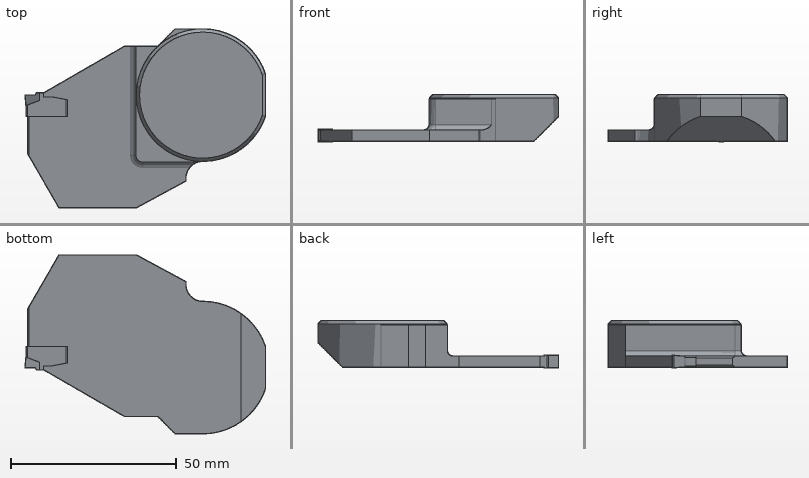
import cadquery as cq
import math


head_radius = 20.0
head_height = 14.14
head_chamfer = 1.0
head_flat_x = 19.0
underside_cut_height = 7.5

shoulder_top = 12.8
shoulder_left_x = -20.1
shoulder_front_y = -20.17
shoulder_corner_radius = 2.0
shoulder_foot_radius = 1.6

blade_thickness = 3.5
blade_mid_z = blade_thickness / 2
blade_left_x = -52.85
blade_front_y = -34.0
blade_back_y = 14.8
blade_back_left_x = -23.5
blade_slope = math.radians(30)
blade_left_bottom_y = -17.5
blade_front_right_x = -20.0
blade_right_x = -5.0
blade_right_corner_y = -25.9
relief_radius = 5.0
blade_edge_chamfer_x = 0.5
blade_edge_chamfer_z = 0.65

insert_left_x = -53.3
insert_right_x = -40.8
insert_front_y = -6.4
insert_end_chamfer = 0.45
seat_step_x = -47.95
seat_step_y = -0.5
seat_slope_x = -45.5
insert_right_y = -1.4
land_y = 0.76
notch_left_x = -50.5
notch_right_x = -50.1

tip_thickness = 4.0
tip_left_x = -53.6
tip_edge_y = 0.1
tip_right_x = -49.2
tip_inner_y = -1.6
tip_foot_y = -3.2
tip_relief = math.radians(6)


def prism(points, bottom, top):
    """Straight prism over a closed XY polygon."""
    return cq.Workplane("XY").workplane(offset=bottom).polyline(points).close().extrude(top - bottom)


def make_head():
    """Chamfered disc trimmed by a side profile: flat, chamfered on top and relieved below."""
    disc = cq.Workplane("XY").circle(head_radius).extrude(head_height)
    disc = disc.faces(">Z").edges().chamfer(head_chamfer)
    side_profile = [
        (-head_radius, 0),
        (head_flat_x - underside_cut_height, 0),
        (head_flat_x, underside_cut_height),
        (head_flat_x, head_height - head_chamfer),
        (head_flat_x - head_chamfer, head_height),
        (-head_radius, head_height),
    ]
    trim = cq.Workplane("XZ").polyline(side_profile).close().extrude(head_radius, both=True)
    return disc.intersect(trim)


def back_corner_points():
    """Back outline from the head to the blade: the 45 degree edge is tangent to the head."""
    tangent_sum = head_radius * math.sqrt(2)
    return [
        (0, head_radius),
        (head_radius - tangent_sum, head_radius),
        (blade_back_y - tangent_sum, blade_back_y),
    ]


def relief_cutter():
    """Round run-out that leaves a concave corner between the blade and the head."""
    return (
        cq.Workplane("XY")
        .center(0, -head_radius - relief_radius)
        .circle(relief_radius)
        .extrude(head_height)
    )


def make_shoulder():
    """Block beside the head with one rounded vertical corner."""
    outline = back_corner_points() + [
        (shoulder_left_x, blade_back_y),
        (shoulder_left_x, shoulder_front_y),
        (0, shoulder_front_y),
    ]
    shoulder = prism(outline, 0, shoulder_top)
    corner = cq.selectors.NearestToPointSelector((shoulder_left_x, shoulder_front_y, shoulder_top / 2))
    return shoulder.edges(corner).fillet(shoulder_corner_radius)


def make_blade():
    run = blade_back_left_x - blade_left_x
    front_left_x = blade_left_x + (blade_left_bottom_y - blade_front_y) * math.tan(blade_slope)
    outline = back_corner_points() + [
        (blade_back_left_x, blade_back_y),
        (blade_left_x, blade_back_y - run * math.tan(blade_slope)),
        (blade_left_x, blade_left_bottom_y),
        (front_left_x, blade_front_y),
        (blade_front_right_x, blade_front_y),
        (blade_right_x, blade_right_corner_y),
        (blade_right_x, -head_radius - relief_radius),
        (0, -head_radius - relief_radius),
    ]
    blade = prism(outline, 0, blade_thickness)
    return blade.faces("<X").edges("|Y").chamfer(blade_edge_chamfer_z, blade_edge_chamfer_x)


def insert_points():
    """Outline of the insert shank, counter-clockwise from its front left corner."""
    return [
        (insert_left_x, insert_front_y),
        (insert_right_x, insert_front_y),
        (insert_right_x, insert_right_y),
        (seat_slope_x, seat_step_y),
        (seat_step_x, seat_step_y),
        (seat_step_x, land_y),
        (tip_right_x, land_y),
        (tip_right_x, tip_inner_y),
        (insert_left_x, tip_foot_y),
    ]


def tip_points():
    return [
        (tip_left_x, tip_edge_y),
        (insert_left_x, tip_foot_y),
        (tip_right_x, tip_inner_y),
        (tip_right_x, land_y),
        (notch_right_x, land_y),
        (notch_left_x, tip_edge_y),
    ]


def make_tip():
    """Tip prism thinned by a wedge, full thickness only at its back edge."""
    half_back = tip_thickness / 2
    half_foot = half_back - (land_y - tip_foot_y) * math.tan(tip_relief)
    wedge_profile = [
        (land_y, blade_mid_z - half_back),
        (land_y, blade_mid_z + half_back),
        (tip_foot_y, blade_mid_z + half_foot),
        (tip_foot_y, blade_mid_z - half_foot),
    ]
    wedge = (
        cq.Workplane("YZ")
        .workplane(offset=tip_left_x)
        .polyline(wedge_profile)
        .close()
        .extrude(tip_right_x - tip_left_x)
    )
    blank = prism(tip_points(), blade_mid_z - half_back, blade_mid_z + half_back)
    return blank.intersect(wedge)


def make_insert():
    shank = prism(insert_points(), 0, blade_thickness)
    shank = shank.faces("<X or >X").edges("|Y").chamfer(insert_end_chamfer)
    return shank.union(make_tip())


def make_holder():
    """Head, shoulder and blade in one piece, filleted at the foot and cut through for the insert."""
    joined = make_blade().union(make_shoulder())
    margin = 0.1
    foot = cq.selectors.BoxSelector(
        (shoulder_left_x - margin, shoulder_front_y - margin, blade_thickness - margin),
        (-shoulder_foot_radius, blade_back_y - margin, blade_thickness + margin),
    )
    joined = joined.edges(foot).fillet(shoulder_foot_radius)
    holder = joined.cut(relief_cutter()).union(make_head())
    tip_room = prism(tip_points(), -blade_thickness, 2 * blade_thickness)
    pocket = prism(insert_points(), -blade_thickness, 2 * blade_thickness).union(tip_room)
    return holder.cut(pocket)


insert = make_insert()
holder = make_holder()

result = cq.Compound.makeCompound([holder.val(), insert.val()])